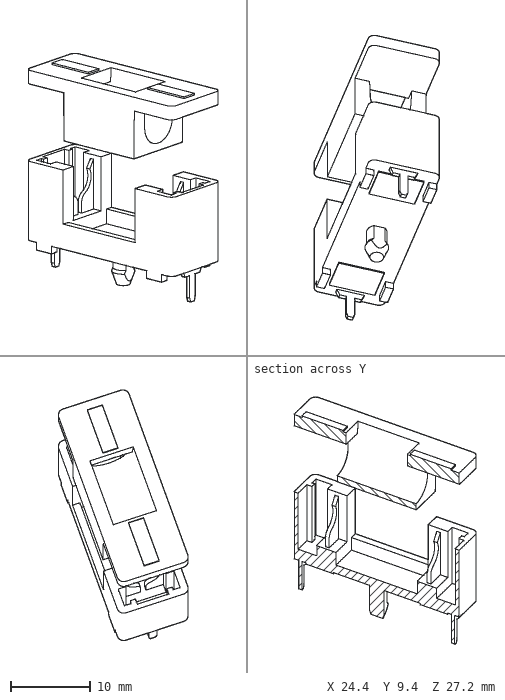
import cadquery as cq
import math


length = 24.4
width = 9.4
corner_radius = 0.85

housing_bottom = 4.43
floor_top = 5.82
notch_bottom = 7.78
housing_top = 14.93

notch_half_length = 5.98
side_wall = 0.98
end_wall = 0.98
inner_half_width = width / 2 - side_wall
end_chamber_length = 2.35
end_chamber_floor = 6.2
end_chamber_outer = length / 2 - end_wall
end_chamber_inner = end_chamber_outer - end_chamber_length
jamb_half_opening = 2.67
blade_recess_half_width = 2.1
blade_recess_depth = 0.35
guide_rib_width = 0.7
guide_rib_height = 0.38

clip_inner_x = 7.24
clip_thickness = 0.55
clip_top = 14.35
throat_half_gap = 1.93
cradle_radius = 2.18
cradle_center_z = 12.25
slot_half_gap = 0.35
slot_top = 9.22

foot_inner_x = 7.92
foot_outer_x = 10.45
foot_bottom = 3.43
foot_width = 1.05
pad_inner_x = 6.4
pad_half_width = 3.02
pad_height = 0.2

pin_center_x = 11.3
pin_thickness = 0.52
pin_half_width = 0.55
pin_tip_half_width = 0.35
pin_taper_height = 0.57
shoulder_bottom = 3.54
shoulder_top_half_width = 1.82
shoulder_bottom_half_width = 1.45

peg_radius = 1.3
peg_half_flats = 1.1
barb_start = 2.15
barb_z = 1.7
barb_radius = 1.5
peg_tip_radius = 0.87

cover_top = 26.98
plate_bottom = 25.15
block_bottom = 18.8
block_top_half_length = 5.9
block_bottom_half_length = 5.82
tunnel_bottom = 19.8
tunnel_radius = 2.67
tunnel_top_half_width = 2.88
window_half_length = 4.52

overall_height = 27.2
legend_inner_x = 4.95
legend_outer_x = 11.02
legend_width = 2.0

ENDS = (-1, 1)
SIDES = (-1, 1)


def box(x_range, y_range, z_range):
    """Axis-aligned block between the given limits, in any order."""
    (x0, x1), (y0, y1), (z0, z1) = (sorted(r) for r in (x_range, y_range, z_range))
    return cq.Workplane("XY").box(x1 - x0, y1 - y0, z1 - z0, centered=False).translate((x0, y0, z0))


def rounded_slab(z0, z1):
    """Footprint of the holder with rounded upright edges."""
    slab = cq.Workplane("XY").workplane(offset=z0).rect(length, width).extrude(z1 - z0)
    return slab.edges("|Z").fillet(corner_radius)


def across_plate(outline, center_x, thickness):
    """Turn a sketch drawn on the YZ plane into a plate centred on center_x."""
    return outline.extrude(thickness / 2, both=True).translate((center_x, 0, 0))


def end_chamber(end):
    """Cavity inside one end tower, with the blade recess and its two guide ribs."""
    z_range = (end_chamber_floor, housing_top)
    outer_x = end * end_chamber_outer
    chamber = box((end * end_chamber_inner, outer_x), (-inner_half_width, inner_half_width), z_range)
    passage = box(
        (end * notch_half_length, end * end_chamber_inner),
        (-jamb_half_opening, jamb_half_opening),
        (notch_bottom, housing_top),
    )
    recess = box(
        (outer_x, outer_x + end * blade_recess_depth),
        (-blade_recess_half_width, blade_recess_half_width),
        z_range,
    )
    cavity = chamber.union(passage).union(recess)
    for side in SIDES:
        rib = box(
            (outer_x, outer_x - end * guide_rib_height),
            (side * blade_recess_half_width, side * (blade_recess_half_width + guide_rib_width)),
            z_range,
        )
        cavity = cavity.cut(rib)
    return cavity


def half_mouth(center_x):
    """One half of the clip's opening: slot, rounded lip, round cradle and sloped lead-in."""
    drop = cradle_center_z - slot_top
    lip_radius = (slot_half_gap**2 + drop**2 - cradle_radius**2) / (2 * (cradle_radius - slot_half_gap))
    lip_center_y = slot_half_gap + lip_radius
    lip_angle = math.atan2(drop, lip_center_y)

    def on_lip(angle):
        return (lip_center_y - lip_radius * math.cos(angle), slot_top + lip_radius * math.sin(angle))

    throat_z = cradle_center_z + math.sqrt(cradle_radius**2 - throat_half_gap**2)
    outline = (
        cq.Workplane("YZ")
        .moveTo(0, notch_bottom)
        .lineTo(slot_half_gap, notch_bottom)
        .lineTo(slot_half_gap, slot_top)
        .threePointArc(on_lip(lip_angle / 2), on_lip(lip_angle))
        .threePointArc((cradle_radius, cradle_center_z), (throat_half_gap, throat_z))
        .lineTo(jamb_half_opening, clip_top)
        .lineTo(0, clip_top)
        .close()
    )
    return across_plate(outline, center_x, clip_thickness)


def contact_clip(end):
    """Upright plate across the passage, cut out in the middle to grip a fuse cap."""
    center_x = end * (clip_inner_x + clip_thickness / 2)
    plate = box(
        (center_x - clip_thickness / 2, center_x + clip_thickness / 2),
        (-jamb_half_opening, jamb_half_opening),
        (notch_bottom, clip_top),
    )
    mouth = half_mouth(center_x)
    return plate.cut(mouth).cut(mouth.mirror("XZ"))


def solder_pin(end):
    """Flat pin with a tapered shoulder under the housing and a narrowed tip."""
    right_edge = [
        (shoulder_top_half_width, housing_bottom),
        (shoulder_bottom_half_width, shoulder_bottom),
        (pin_half_width, shoulder_bottom),
        (pin_half_width, pin_taper_height),
        (pin_tip_half_width, 0),
    ]
    left_edge = [(-y, z) for y, z in reversed(right_edge)]
    outline = cq.Workplane("YZ").polyline(right_edge + left_edge).close()
    return across_plate(outline, end * pin_center_x, pin_thickness)


def snap_peg():
    """Round peg with a conical barb and a flat on each end-facing side."""
    peg = (
        cq.Workplane("XZ")
        .polyline([
            (0, 0),
            (peg_tip_radius, 0),
            (barb_radius, barb_z),
            (peg_radius, barb_start),
            (peg_radius, housing_bottom),
            (0, housing_bottom),
        ])
        .close()
        .revolve(360, (0, 0, 0), (0, 1, 0))
    )
    between_flats = box(
        (-peg_half_flats, peg_half_flats),
        (-barb_radius, barb_radius),
        (0, housing_bottom),
    )
    return peg.intersect(between_flats)


def foot(end, side):
    """Small standing foot at the edge of a long side."""
    return box(
        (end * foot_inner_x, end * foot_outer_x),
        (side * width / 2, side * (width / 2 - foot_width)),
        (foot_bottom, housing_bottom),
    )


def bottom_pad(end):
    """Shallow pad under one end of the housing."""
    return box(
        (end * pad_inner_x, end * foot_outer_x),
        (-pad_half_width, pad_half_width),
        (housing_bottom - pad_height, housing_bottom),
    )


def make_housing():
    body = rounded_slab(housing_bottom, housing_top)
    notch_x = (-notch_half_length, notch_half_length)
    body = body.cut(box(notch_x, (-width / 2, width / 2), (notch_bottom, housing_top)))
    body = body.cut(box(notch_x, (-inner_half_width, inner_half_width), (floor_top, notch_bottom)))
    for end in ENDS:
        body = body.cut(end_chamber(end)).union(contact_clip(end))
        body = body.union(bottom_pad(end)).union(solder_pin(end))
        for side in SIDES:
            body = body.union(foot(end, side))
    return body.union(snap_peg())


def tunnel():
    """Round-bottomed channel along X whose sides open slightly towards the top."""
    axis_z = tunnel_bottom + tunnel_radius
    outline = (
        cq.Workplane("YZ")
        .moveTo(-tunnel_top_half_width, cover_top)
        .lineTo(-tunnel_radius, axis_z)
        .threePointArc((0, tunnel_bottom), (tunnel_radius, axis_z))
        .lineTo(tunnel_top_half_width, cover_top)
        .close()
    )
    return across_plate(outline, 0, length)


def cover_block():
    """Block that drops into the notch, slightly narrower at the bottom."""
    return (
        cq.Workplane("XZ")
        .polyline([
            (-block_top_half_length, plate_bottom),
            (-block_bottom_half_length, block_bottom),
            (block_bottom_half_length, block_bottom),
            (block_top_half_length, plate_bottom),
        ])
        .close()
        .extrude(width / 2, both=True)
    )


def make_cover():
    across = (-width / 2, width / 2)
    window_zone = box((-window_half_length, window_half_length), across, (plate_bottom, cover_top))
    plate = rounded_slab(plate_bottom, cover_top).cut(tunnel().intersect(window_zone))
    body = plate.union(cover_block().cut(tunnel()))
    for end in ENDS:
        legend = box(
            (end * legend_inner_x, end * legend_outer_x),
            (-legend_width / 2, legend_width / 2),
            (cover_top, overall_height),
        )
        body = body.union(legend)
    return body


housing = make_housing()
cover = make_cover()

result = cq.Compound.makeCompound([housing.val(), cover.val()])